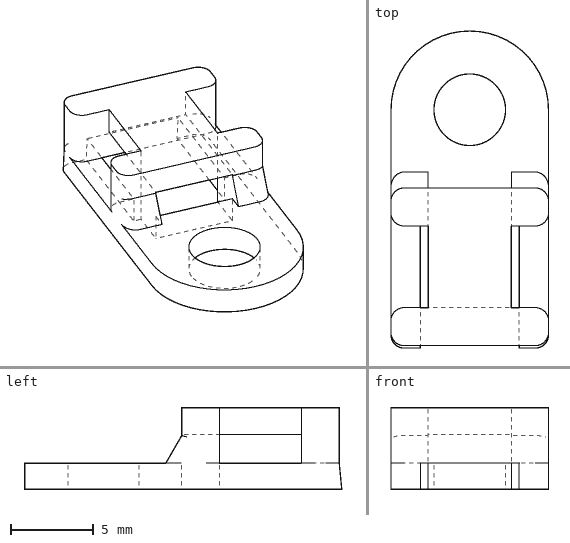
import cadquery as cq
import math

length = 19.18
width = 9.53
height = 4.95
base_thickness = 1.6
hole_diameter = 4.32
corner_radius = 0.8
lug_depth = 2.3
window_length = 4.93
foot_overhang = 0.15
bridge_width = 5.03
slot_width = 5.96
bridge_underside = 3.32
brace_top = 3.26
brace_angle = 30

half_width = width / 2
foot_front = half_width - length
tower_front = foot_front + foot_overhang
window_front = tower_front + lug_depth
window_back = window_front + window_length
tower_back = window_back + lug_depth
brace_foot = tower_back + (brace_top - base_thickness) * math.tan(math.radians(brace_angle))


def block(x_size, y_start, y_end, z_start, z_end):
    """Box centred on X = 0, spanning the given Y and Z ranges."""
    box = cq.Workplane("XY").box(x_size, y_end - y_start, z_end - z_start, centered=(True, False, False))
    return box.translate((0, y_start, z_start))


def side_prism(points):
    """Full-width prism with its outline in the YZ plane."""
    return cq.Workplane("YZ").polyline(points).close().extrude(half_width, both=True)


def make_base():
    plate = (
        cq.Workplane("XY")
        .moveTo(-half_width, foot_front)
        .lineTo(half_width, foot_front)
        .lineTo(half_width, 0)
        .threePointArc((0, half_width), (-half_width, 0))
        .close()
        .extrude(base_thickness)
    )
    lean = side_prism([
        (foot_front, 0), (tower_front, base_thickness), (foot_front, base_thickness),
    ])
    plate = plate.cut(lean)
    plate = plate.faces("<Y").edges("not |X").fillet(corner_radius)
    hole = cq.Workplane("XY").circle(hole_diameter / 2).extrude(base_thickness)
    return plate.cut(hole)


def make_front_bar():
    bar = block(width, tower_front, window_front, base_thickness, height)
    return bar.edges("|Z").fillet(corner_radius)


def make_rear_bar():
    bar = side_prism([
        (window_back, base_thickness), (brace_foot, base_thickness), (tower_back, brace_top),
        (tower_back, height), (window_back, height),
    ])
    bar = bar.edges("not (|X or |Y)").fillet(corner_radius)
    arch = block(bridge_width, window_back, brace_foot, base_thickness, bridge_underside)
    return bar.cut(arch)


bridge = block(bridge_width, window_front, window_back, bridge_underside, height)
slot = block(slot_width, foot_front, window_back, 0, base_thickness)
channel = block(bridge_width, window_back, tower_back, 0, base_thickness)

result = make_base().cut(slot).cut(channel)
result = result.union(make_front_bar()).union(make_rear_bar()).union(bridge)